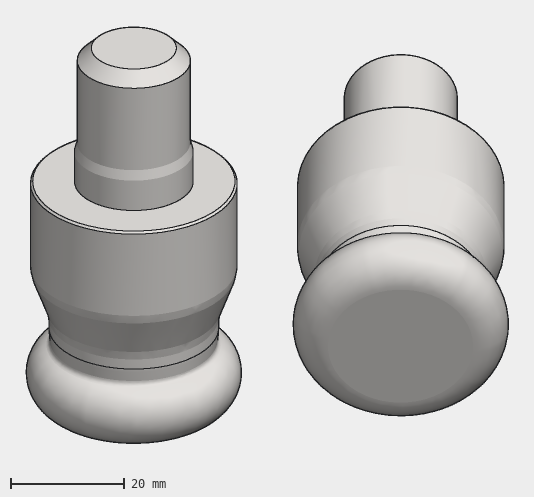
import cadquery as cq
import math


housing_radius = 36.5 / 2
waist_radius = 30.0 / 2
housing_length = 29.6
barrel_length = 17.9
waist_taper_angle = math.radians(20)
waist_taper_length = (housing_radius - waist_radius) / math.tan(waist_taper_angle)
taper_blend_radius = 5.0
shoulder_chamfer = 0.4

guide_radius = 20.99 / 2
tip_radius = 20.0 / 2
pin_reach = 27.0
guide_reach = 6.0
pin_taper_angle = math.radians(15)
pin_taper_length = (guide_radius - tip_radius) / math.tan(pin_taper_angle)
tip_chamfer = 2.5

knob_length = 15.4
head_radius = 19.0
rim_radius = 6.2
neck_taper_angle = math.radians(5)
neck_blend_radius = 7.5
neck_root_fillet = 1.0

axis_margin = 1.0

housing_bottom = -housing_length
knob_bottom = housing_bottom - knob_length


def revolve_about_z(profile):
    """Turn a closed profile, drawn as (radius, height), about the Z axis."""
    return profile.close().revolve(360, (0, 0, 0), (0, 1, 0))


def circle_edges(body, low, high):
    """Circular edges around the Z axis that lie between two heights."""
    axis_zone = cq.selectors.BoxSelector(
        (-axis_margin, -axis_margin, low),
        (axis_margin, axis_margin, high),
    )
    return body.edges("%CIRCLE").edges(axis_zone)


def make_housing():
    """Barrel tapering to a waist, bored through for the pin."""
    taper_top = -barrel_length
    taper_bottom = taper_top - waist_taper_length
    profile = (
        cq.Workplane("XZ")
        .moveTo(0, 0)
        .lineTo(housing_radius, 0)
        .lineTo(housing_radius, taper_top)
        .lineTo(waist_radius, taper_bottom)
        .lineTo(waist_radius, housing_bottom)
        .lineTo(0, housing_bottom)
    )
    body = revolve_about_z(profile)
    for height in (taper_top, taper_bottom):
        corner = circle_edges(body, height - axis_margin, height + axis_margin)
        body = corner.fillet(taper_blend_radius)
    body = body.faces(">Z").edges().chamfer(shoulder_chamfer)
    bore = cq.Workplane("XY", origin=(0, 0, housing_bottom)).circle(guide_radius).extrude(housing_length)
    return body.cut(bore)


def make_pin():
    """Guide shank seated on the knob, tapering to the chamfered locating tip."""
    profile = (
        cq.Workplane("XZ")
        .moveTo(0, housing_bottom)
        .lineTo(guide_radius, housing_bottom)
        .lineTo(guide_radius, guide_reach)
        .lineTo(tip_radius, guide_reach + pin_taper_length)
        .lineTo(tip_radius, pin_reach)
        .lineTo(0, pin_reach)
    )
    return revolve_about_z(profile).faces(">Z").edges().chamfer(tip_chamfer)


def make_knob():
    """Mushroom head with a round rim, under a slightly tapered neck."""
    rim_center_radius = head_radius - rim_radius
    rim_center_height = knob_bottom + rim_radius
    head_top = knob_bottom + 2 * rim_radius
    head = revolve_about_z(
        cq.Workplane("XZ")
        .moveTo(0, knob_bottom)
        .lineTo(rim_center_radius, knob_bottom)
        .threePointArc((head_radius, rim_center_height), (rim_center_radius, head_top))
        .lineTo(0, head_top)
    )

    half_angle = neck_taper_angle / 2
    blend_middle = (
        waist_radius - neck_blend_radius * (1 - math.cos(half_angle)),
        housing_bottom - neck_blend_radius * math.sin(half_angle),
    )
    blend_end_radius = waist_radius - neck_blend_radius * (1 - math.cos(neck_taper_angle))
    blend_end_height = housing_bottom - neck_blend_radius * math.sin(neck_taper_angle)
    taper_drop = blend_end_height - rim_center_height
    neck_end_radius = blend_end_radius - taper_drop * math.tan(neck_taper_angle)
    neck = revolve_about_z(
        cq.Workplane("XZ")
        .moveTo(0, housing_bottom)
        .lineTo(waist_radius, housing_bottom)
        .threePointArc(blend_middle, (blend_end_radius, blend_end_height))
        .lineTo(neck_end_radius, rim_center_height)
        .lineTo(0, rim_center_height)
    )

    neck_root = circle_edges(head.union(neck), rim_center_height, head_top)
    return neck_root.fillet(neck_root_fillet)


housing = make_housing()
pin = make_pin()
knob = make_knob()

result = cq.Compound.makeCompound([
    housing.solids().val(),
    pin.solids().val(),
    knob.solids().val(),
])